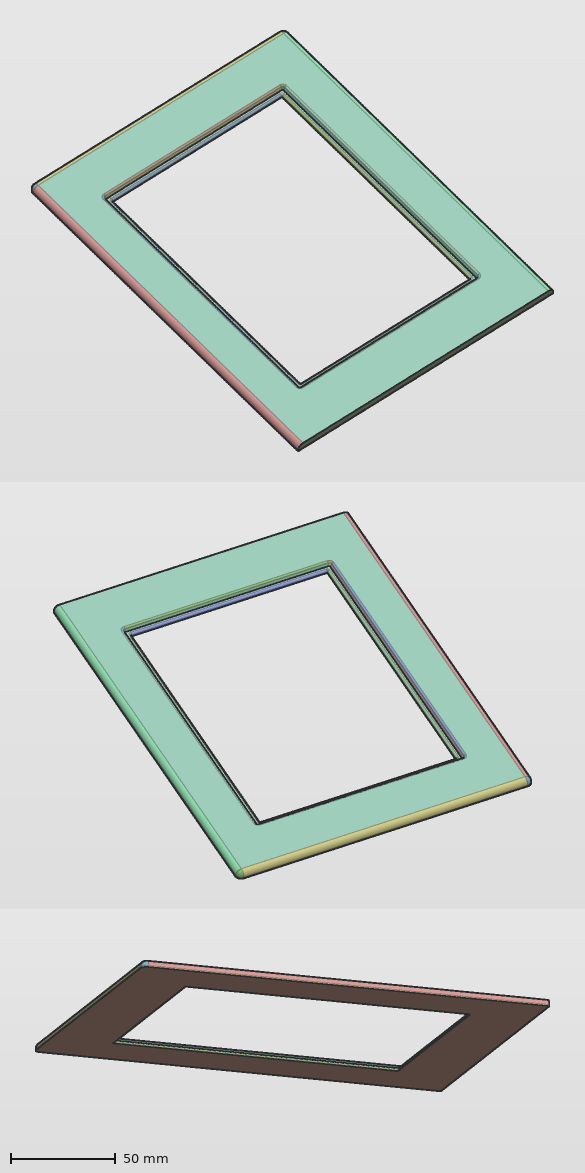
import cadquery as cq
import math

length = 206.0
width = 156.0
thickness = 4.0
edge_radius = 3.0

window_length = 144.0
window_width = 103.6
window_corner_radius = 0.2
window_rim_radius = 1.2
ledge_width = 1.0
ledge_height = 1.9

recess_slope_run = 1.2
recess_rim_radius = 1.2
recess_corner_radius = 0.5
recess_depth = thickness - ledge_height
recess_draft = math.degrees(math.atan(recess_slope_run / recess_depth))
recess_offset = window_rim_radius + ledge_width

selection_margin = 0.2


def make_plate():
    """Plate with rounded top edges on every side except the square +X end."""
    plate = cq.Workplane("XY").box(length, width, thickness, centered=(True, True, False))
    plate = plate.edges("|Z and <X").fillet(edge_radius)
    return plate.faces(">Z").edges("<X").fillet(edge_radius)


def opening(offset, bottom, height, corner_radius, draft=0):
    """Window outline enlarged by offset, extruded upwards and widening by the draft angle."""
    return (
        cq.Workplane("XY", origin=(0, 0, bottom))
        .sketch()
        .rect(window_length + 2 * offset, window_width + 2 * offset)
        .vertices()
        .fillet(corner_radius)
        .finalize()
        .extrude(height, taper=-draft)
    )


def round_rim(body, offset, height, radius):
    """Round the edge of the opening that lies offset outside the window at the given height."""
    half_x = window_length / 2 + offset + selection_margin
    half_y = window_width / 2 + offset + selection_margin
    rim_edges = cq.selectors.BoxSelector(
        (-half_x, -half_y, height - selection_margin),
        (half_x, half_y, height + selection_margin),
    )
    return body.edges(rim_edges).fillet(radius)


recess = opening(recess_offset, ledge_height, recess_depth, recess_corner_radius, recess_draft)
window = opening(0, 0, ledge_height, window_corner_radius)
frame = make_plate().cut(recess).cut(window)
frame = round_rim(frame, recess_offset + recess_slope_run, thickness, recess_rim_radius)
result = round_rim(frame, 0, ledge_height, window_rim_radius)